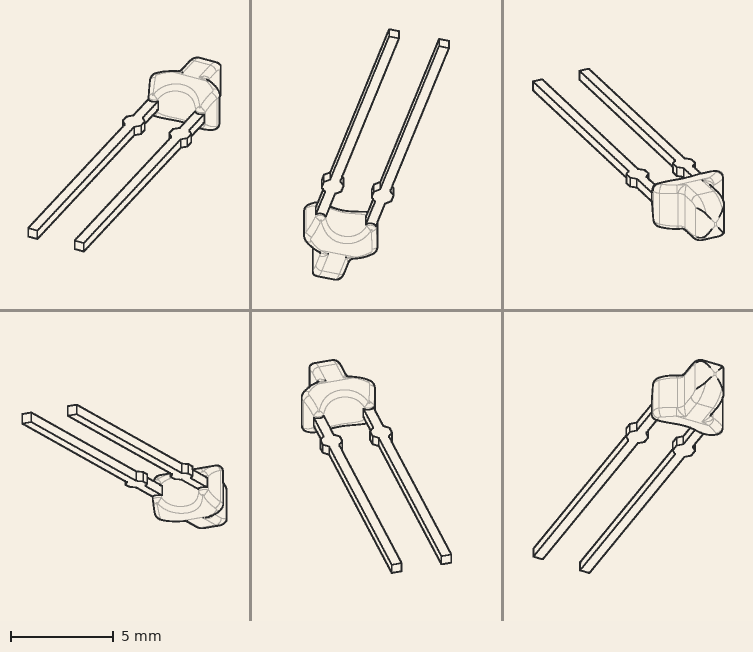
import cadquery as cq
import math

length = 17.0
body_height = 2.4
half_height = body_height / 2
edge_radius = 0.3

lens_width = 1.5
lens_corner_radius = 0.7
lens_nose_radius = 1.1

saddle_center_y = 12.51
saddle_inner_radius = 1.14
saddle_outer_radius = 2.5
shoulder_x = 1.92
side_angle = 21.5
toe_x = 1.25
neck_radius = 0.34
shoulder_radius = 0.42
toe_radius = 0.29

taper_start = 14.52
taper_radius = 2.0
taper_end = 12.65

lead_pitch = 2.53
lead_width = 0.51
lead_thickness = 0.5
lead_top = 13.6
stop_width = 1.0
stop_start = 10.54
stop_end = 11.45


def y_on_circle(radius, x):
    """Y of the point at offset x on the upper half of a circle about the saddle center."""
    return saddle_center_y + math.sqrt(radius**2 - x**2)


lens_x = lens_width / 2
neck_y = y_on_circle(saddle_outer_radius, lens_x)


def round_edge_pair(solid, x, y, radius):
    """Fillet the two vertical edges at (x, y) and (-x, y)."""
    for side_x in (-x, x):
        edge = cq.selectors.NearestToPointSelector((side_x, y, 0))
        solid = solid.edges(edge).fillet(radius)
    return solid


def body_plan():
    """Lens and saddle outline in the XY plane, as a prism of the full body height."""
    shoulder_y = y_on_circle(saddle_outer_radius, shoulder_x)
    arc_x = (lens_x + shoulder_x) / 2
    arc_y = y_on_circle(saddle_outer_radius, arc_x)
    toe_y = shoulder_y - (shoulder_x - toe_x) / math.tan(math.radians(side_angle))
    prism = (
        cq.Workplane("XY", origin=(0, 0, -half_height))
        .moveTo(-lens_x, length)
        .lineTo(lens_x, length)
        .lineTo(lens_x, neck_y)
        .threePointArc((arc_x, arc_y), (shoulder_x, shoulder_y))
        .lineTo(toe_x, toe_y)
        .threePointArc((0, saddle_center_y + saddle_inner_radius), (-toe_x, toe_y))
        .lineTo(-shoulder_x, shoulder_y)
        .threePointArc((-arc_x, arc_y), (-lens_x, neck_y))
        .close()
        .extrude(body_height)
    )
    corners = (
        (shoulder_x, shoulder_y, shoulder_radius),
        (toe_x, toe_y, toe_radius),
    )
    for x, y, radius in corners:
        prism = round_edge_pair(prism, x, y, radius)
    return prism


def body_profile():
    """Side outline in the YZ plane: round nose, flat middle and curved taper."""
    run = taper_start - taper_end
    mid_run = run / 2

    def taper_z(distance):
        return half_height - taper_radius + math.sqrt(taper_radius**2 - distance**2)

    prism = (
        cq.Workplane("YZ")
        .moveTo(length, half_height)
        .lineTo(taper_start, half_height)
        .threePointArc((taper_start - mid_run, taper_z(mid_run)), (taper_end, taper_z(run)))
        .lineTo(taper_end, -taper_z(run))
        .threePointArc((taper_start - mid_run, -taper_z(mid_run)), (taper_start, -half_height))
        .lineTo(length, -half_height)
        .close()
        .extrude(shoulder_x, both=True)
    )
    return prism.edges("|X and >Y").fillet(lens_nose_radius)


def lens_corner_cutter():
    """Material outside the rounded plan corners of the lens tip."""
    block = cq.Workplane("XY").box(lens_width, 2 * lens_corner_radius, body_height)
    rounded = block.edges("|Z and >Y").fillet(lens_corner_radius)
    return block.cut(rounded).translate((0, length - lens_corner_radius, 0))


def lead(x):
    """One flat lead with its stop, centered on the given X."""
    half_width = lead_width / 2
    half_stop = stop_width / 2
    chamfer = half_stop - half_width
    right_side = [
        (half_width, 0),
        (half_width, stop_start),
        (half_stop, stop_start + chamfer),
        (half_stop, stop_end - chamfer),
        (half_width, stop_end),
        (half_width, lead_top),
    ]
    left_side = [(-side_x, y) for side_x, y in reversed(right_side)]
    return (
        cq.Workplane("XY", origin=(x, 0, -lead_thickness / 2))
        .polyline(right_side + left_side)
        .close()
        .extrude(lead_thickness)
    )


body = body_plan().intersect(body_profile())
body = body.edges("not(|X or |Z)").fillet(edge_radius)
body = round_edge_pair(body, lens_x, neck_y, neck_radius)
body = body.cut(lens_corner_cutter())

result = body.union(lead(-lead_pitch / 2)).union(lead(lead_pitch / 2))